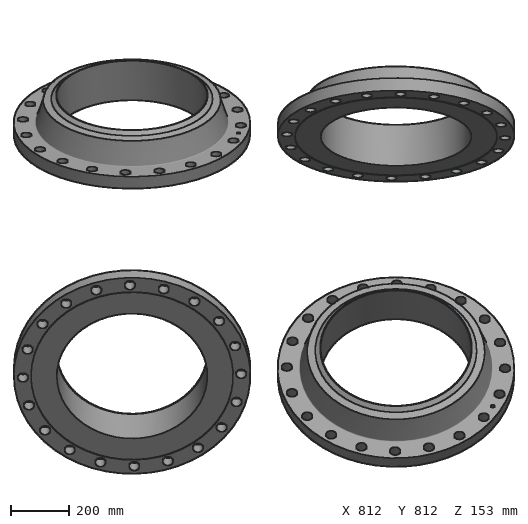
import cadquery as cq

flange_radius = 406.0
overall_height = 153.0
raised_face_height = 2.0
raised_face_radius = 347.0
flange_top_z = 49.0

bore_radius = 258.0
hub_base_radius = 331.0
hub_base_fillet = 3.0
hub_top_radius = 305.0
hub_taper_top_z = 130.0
hub_rim_z = 135.0
bevel_foot_radius = 277.0
bevel_foot_z = 140.0
weld_edge_radius = 261.0

bolt_count = 20
bolt_circle_radius = 375.0
bolt_hole_diameter = 36.0
bolt_pitch_angle = 360 / bolt_count
small_hole_diameter = 13.0
small_hole_depth = 24.0
small_hole_angle = bolt_pitch_angle / 2


def make_body():
    """Revolve the half section of the flange and hub about Z."""
    section = (
        cq.Workplane("XZ")
        .moveTo(bore_radius, 0)
        .lineTo(raised_face_radius, 0)
        .lineTo(raised_face_radius, raised_face_height)
        .lineTo(flange_radius, raised_face_height)
        .lineTo(flange_radius, flange_top_z)
        .lineTo(hub_base_radius, flange_top_z)
        .lineTo(hub_top_radius, hub_taper_top_z)
        .lineTo(hub_top_radius, hub_rim_z)
        .lineTo(bevel_foot_radius, bevel_foot_z)
        .lineTo(weld_edge_radius, overall_height)
        .lineTo(bore_radius, overall_height)
        .close()
    )
    body = section.revolve(360, (0, 0, 0), (0, 1, 0))
    margin = hub_base_fillet
    reach = hub_base_radius + margin
    around_hub_base = cq.selectors.BoxSelector(
        (-reach, -reach, flange_top_z - margin),
        (reach, reach, flange_top_z + margin),
        boundingbox=True,
    )
    return body.edges(around_hub_base).fillet(hub_base_fillet)


def make_bolt_holes():
    """Ring of through holes, the first one on the +X axis."""
    return (
        cq.Workplane("XY")
        .polarArray(bolt_circle_radius, 0, 360, bolt_count)
        .circle(bolt_hole_diameter / 2)
        .extrude(flange_top_z)
    )


def make_small_hole():
    """Blind hole in the flange top, midway between two bolt holes."""
    drill = (
        cq.Workplane("XY", origin=(bolt_circle_radius, 0, flange_top_z))
        .circle(small_hole_diameter / 2)
        .extrude(-small_hole_depth)
    )
    return drill.rotate((0, 0, 0), (0, 0, 1), small_hole_angle)


result = make_body().cut(make_bolt_holes()).cut(make_small_hole())